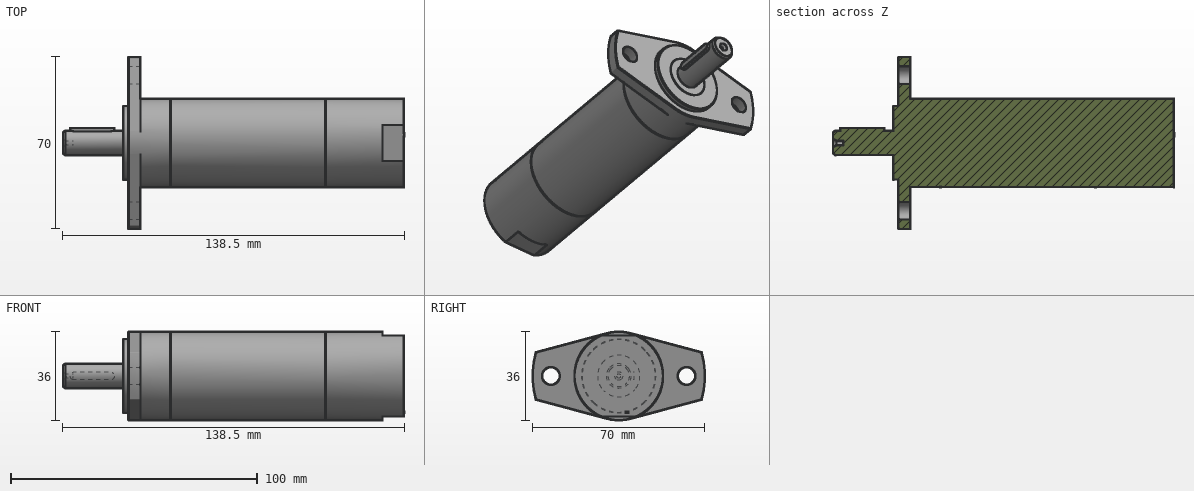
import cadquery as cq
import math

overall_length = 138.5
spigot_face_x = 24.4
flange_face_x = 26.5
flange_thickness = 5.0
front_groove_x = 43.6
rear_groove_x = 106.5
rear_mark_height = 0.3
body_end_x = overall_length - rear_mark_height

body_diameter = 36.0
groove_width = 0.4
groove_depth = 0.1
spigot_diameter = 30.0
spigot_chamfer = 0.3
recess_diameter = 17.0
recess_depth = 0.1

flange_diameter = 70.0
flange_side_angle = 15.0
flange_chamfer = 0.3
flange_corner_radius = 0.3
mount_hole_diameter = 7.0
mount_hole_spacing = 55.0

flat_length = 8.6
across_flats = 33.0

shaft_diameter = 10.0
shaft_tip_diameter = 8.6
shaft_chamfer_length = 1.0
center_hole_diameter = 1.7
center_hole_depth = 4.2
countersink_diameter = 3.3
countersink_angle = 60.0
key_start_x = 2.9
key_length = 18.0
key_width = 3.0
key_top_y = 6.1
key_depth = 3.0

rear_mark_y = 3.3
rear_mark_z = -14.7
rear_mark_width = 1.2
rear_mark_thickness = 0.5


def section_plane(x):
    """Plane across the axis: local x is +Y, local y is +Z, the normal is +X."""
    return cq.Workplane("YZ", origin=(x, 0, 0))


def make_body():
    """Plain cylinder from the flange face to the rear end."""
    return section_plane(flange_face_x).circle(body_diameter / 2).extrude(body_end_x - flange_face_x)


def make_flange():
    """Round plate cut by four straight sides tangent to the body, with rounded corners."""
    angle = math.radians(flange_side_angle)
    body_radius = body_diameter / 2
    plate_radius = flange_diameter / 2
    tangent_y = body_radius * math.sin(angle)
    tangent_z = body_radius * math.cos(angle)
    corner_angle = math.pi / 2 - angle - math.acos(body_radius / plate_radius)
    corner_y = plate_radius * math.cos(corner_angle)
    corner_z = plate_radius * math.sin(corner_angle)
    plate = (
        section_plane(flange_face_x)
        .moveTo(tangent_y, tangent_z)
        .threePointArc((0, body_radius), (-tangent_y, tangent_z))
        .lineTo(-corner_y, corner_z)
        .threePointArc((-plate_radius, 0), (-corner_y, -corner_z))
        .lineTo(-tangent_y, -tangent_z)
        .threePointArc((0, -body_radius), (tangent_y, -tangent_z))
        .lineTo(corner_y, -corner_z)
        .threePointArc((plate_radius, 0), (corner_y, corner_z))
        .close()
        .extrude(flange_thickness)
    )
    return plate.edges("|X").edges("<Y or >Y").fillet(flange_corner_radius)


def make_spigot():
    """Locating spigot with a chamfered rim and a shallow recess around the shaft."""
    spigot = section_plane(spigot_face_x).circle(spigot_diameter / 2).extrude(flange_face_x - spigot_face_x)
    spigot = spigot.faces("<X").chamfer(spigot_chamfer)
    recess = section_plane(spigot_face_x).circle(recess_diameter / 2).extrude(recess_depth)
    return spigot.cut(recess)


def make_shaft():
    """Shaft with a conical tip and a drilled centre hole."""
    shaft = section_plane(0).circle(shaft_diameter / 2).extrude(flange_face_x)
    tip_inset = (shaft_diameter - shaft_tip_diameter) / 2
    shaft = shaft.faces("<X").chamfer(shaft_chamfer_length, tip_inset)
    return shaft.faces("<X").workplane().cskHole(
        center_hole_diameter, countersink_diameter, countersink_angle, center_hole_depth
    )


def make_key():
    """Round-ended key on the +Y side of the shaft."""
    return (
        cq.Workplane("XZ", origin=(key_start_x + key_length / 2, key_top_y, 0))
        .slot2D(key_length, key_width)
        .extrude(key_depth)
    )


def make_rear_mark():
    """Small raised mark on the rear face, sunk into the body by its own height."""
    return (
        section_plane(body_end_x - rear_mark_height)
        .center(rear_mark_y, rear_mark_z)
        .rect(rear_mark_width, rear_mark_thickness)
        .extrude(2 * rear_mark_height)
    )


def make_groove(center_x):
    """Cutter for a V-groove around the body."""
    body_radius = body_diameter / 2
    return (
        cq.Workplane("XY")
        .moveTo(center_x - groove_width / 2, body_radius)
        .lineTo(center_x, body_radius - groove_depth)
        .lineTo(center_x + groove_width / 2, body_radius)
        .close()
        .revolve(360, (0, 0, 0), (1, 0, 0))
    )


def make_flat_cutter(side):
    """Cutter for one wrench flat; side is +1 for the top and -1 for the bottom."""
    return (
        section_plane(body_end_x - flat_length)
        .center(0, side * (across_flats + body_diameter) / 2)
        .rect(body_diameter, body_diameter)
        .extrude(flat_length)
    )


def make_mount_holes():
    """Cutters for the two mounting holes through the flange."""
    return (
        section_plane(flange_face_x)
        .pushPoints([(-mount_hole_spacing / 2, 0), (mount_hole_spacing / 2, 0)])
        .circle(mount_hole_diameter / 2)
        .extrude(flange_thickness)
    )


housing = make_body().union(make_flange())
housing = housing.faces("<X").chamfer(flange_chamfer)
housing = housing.cut(make_mount_holes())
for groove_x in (front_groove_x, rear_groove_x):
    housing = housing.cut(make_groove(groove_x))
for flat_side in (1, -1):
    housing = housing.cut(make_flat_cutter(flat_side))

result = housing.union(make_spigot())
for added_part in (make_shaft(), make_key(), make_rear_mark()):
    result = result.union(added_part)